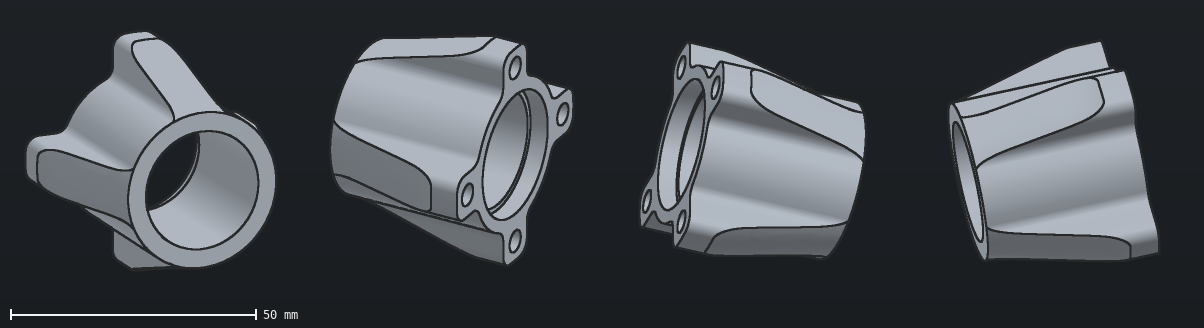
import cadquery as cq

length = 34.0
tip_radius = 24.5
body_radius = 16.5

lug_count = 4
lug_width = 10.0
edge_radius = 3.0

land_length = 6.05
taper_points = [
    (land_length, tip_radius),
    (10.8, 22.85),
    (15.45, 21.6),
    (24.5, 19.05),
    (length, body_radius),
]

bore_diameter = 25.0
counterbore_diameter = 27.4
counterbore_depth = 4.0

hole_diameter = 4.7
hole_circle_radius = 20.0
hole_depth = 10.0


def cylinder(radius, depth):
    """Cylinder along +X from the lug face."""
    return cq.Workplane("YZ").circle(radius).extrude(depth)


def flanged_prism():
    """Sleeve and lugs at full length, with rounded lengthwise edges."""
    bar_span = 3 * tip_radius
    bars = cq.Workplane("YZ").rect(bar_span, lug_width).extrude(length)
    bars = bars.union(bars.rotate((0, 0, 0), (1, 0, 0), 90))
    lugs = bars.intersect(cylinder(tip_radius, length))
    prism = lugs.union(cylinder(body_radius, length))
    return prism.edges("|X").fillet(edge_radius)


def taper_envelope():
    """Solid of revolution that tapers the backs of the lugs."""
    return (
        cq.Workplane("XY")
        .moveTo(0, 0)
        .lineTo(0, tip_radius)
        .lineTo(land_length, tip_radius)
        .spline(taper_points[1:], includeCurrent=True)
        .lineTo(length, 0)
        .close()
        .revolve(360, (0, 0, 0), (1, 0, 0))
    )


def lug_holes():
    """Blind holes, one in each lug."""
    return (
        cq.Workplane("YZ")
        .polarArray(hole_circle_radius, 0, 360, lug_count)
        .circle(hole_diameter / 2)
        .extrude(hole_depth)
    )


result = (
    flanged_prism()
    .intersect(taper_envelope())
    .cut(cylinder(bore_diameter / 2, length))
    .cut(cylinder(counterbore_diameter / 2, counterbore_depth))
    .cut(lug_holes())
)